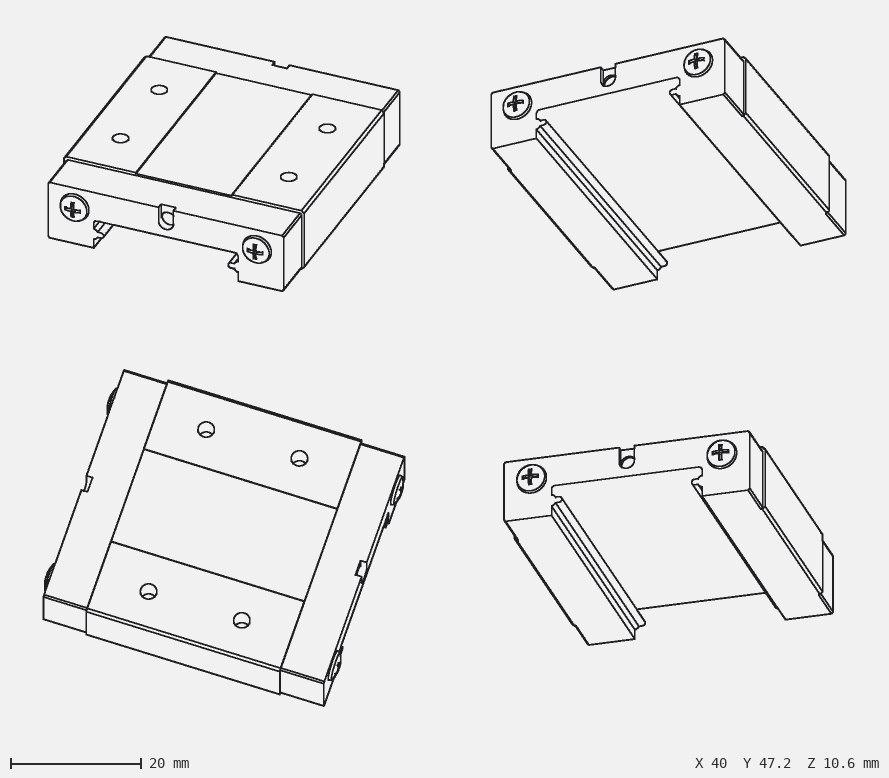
import cadquery as cq
import math

total_length = 47.25
width = 40.0
height = 10.6

block_length = 31.2
block_chamfer = 0.43
recess_width = 16.0
recess_depth = 0.2

cap_width = 39.25
cap_height = 10.05
caps_length = 45.2
cap_chamfer = 0.3

channel_width = 24.0
channel_height = 5.0
channel_corner_radius = 0.55

ridge_height = 2.55
ridge_radius = 1.0
ridge_inset = 0.25
lip_reach = 1.65
lip_radius = 0.45

hole_spacing_x = 28.0
hole_spacing_y = 15.05
hole_diameter = 2.5
hole_depth = 4.25
drill_point_angle = 118.0

port_width = 2.45
port_height = 7.6
port_slot_depth = 1.0
port_hole_depth = 1.45

screw_spacing = 30.35
screw_height = 6.6
screw_radius = 2.35
screw_shoulder_radius = 2.2
screw_shoulder_height = 0.45
cross_length = 2.55
cross_width = 0.45
cross_depth = 0.7


def chamfered_bar(bar_width, length, bar_height, chamfer):
    """Bar along Y, centred in X and Y, resting on Z = 0, with its long edges chamfered."""
    bar = cq.Workplane("XY").box(bar_width, length, bar_height, centered=(True, True, False))
    return bar.edges("|Y").chamfer(chamfer)


def prism_along_y(sketch):
    """Extrude an XZ sketch over the length of the caps, centred on Y = 0."""
    return sketch.extrude(caps_length / 2, both=True)


def make_body():
    block = chamfered_bar(width, block_length, height, block_chamfer)
    recess = cq.Workplane("XY").box(recess_width, block_length, 2 * recess_depth)
    block = block.cut(recess.translate((0, 0, height)))
    return block.union(chamfered_bar(cap_width, caps_length, cap_height, cap_chamfer))


def make_channel():
    channel = cq.Workplane("XY").box(channel_width, caps_length, 2 * channel_height)
    return channel.edges("|Y and >Z").fillet(channel_corner_radius)


def make_wall_ridge():
    """Ridge and lip on the +X channel wall."""
    wall_x = channel_width / 2
    ridge = prism_along_y(
        cq.Workplane("XZ").center(wall_x + ridge_inset, ridge_height).circle(ridge_radius)
    )
    lip_length = lip_reach + ridge_inset
    lip_x = wall_x - lip_reach + lip_length / 2
    lip = prism_along_y(
        cq.Workplane("XZ").center(lip_x, ridge_height).slot2D(lip_length, 2 * lip_radius)
    )
    return ridge.union(lip)


def make_mounting_hole():
    """Drill shape with its mouth at Z = 0 and its point down."""
    radius = hole_diameter / 2
    point_depth = radius / math.tan(math.radians(drill_point_angle / 2))
    profile = [(0, 0), (radius, 0), (radius, -hole_depth), (0, -hole_depth - point_depth)]
    return cq.Workplane("XZ").polyline(profile).close().revolve(360, (0, 0, 0), (0, 1, 0))


def make_grease_port():
    """Slot open to the top and a deeper round hole, in the -Y end face."""
    face = cq.Workplane("XZ", origin=(0, -caps_length / 2, port_height))
    hole = face.circle(port_width / 2).extrude(-port_hole_depth)
    slot_rise = cap_height - port_height
    slot = face.center(0, slot_rise / 2).rect(port_width, slot_rise).extrude(-port_slot_depth)
    return hole.union(slot)


def make_screw_head():
    """Domed head standing on Z = 0 with a cross recess in its top."""
    head_height = (total_length - caps_length) / 2
    corner_radius = cross_width / math.sqrt(2)
    rise = head_height - screw_shoulder_height
    centre_drop = (screw_shoulder_radius**2 - corner_radius**2 - rise**2) / (2 * rise)
    sphere_radius = math.hypot(screw_shoulder_radius, centre_drop)
    apex_height = screw_shoulder_height - centre_drop + sphere_radius
    corner_point = (corner_radius, head_height)
    head = (
        cq.Workplane("XZ")
        .lineTo(screw_radius, 0)
        .lineTo(screw_shoulder_radius, screw_shoulder_height)
        .threePointArc(corner_point, (0, apex_height))
        .close()
        .revolve(360, (0, 0, 0), (0, 1, 0))
    )
    cross = cq.Workplane("XY").box(cross_length, cross_width, 2 * cross_depth)
    cross = cross.union(cross.rotate((0, 0, 0), (0, 0, 1), 90))
    return head.cut(cross.translate((0, 0, head_height)))


def at_both_ends(shape):
    """Shape together with its mirror image across Y = 0."""
    return shape.union(shape.mirror("XZ"))


result = make_body().cut(make_channel())

ridge = make_wall_ridge()
result = result.union(ridge).union(ridge.mirror("YZ"))

hole = make_mounting_hole()
for hole_x in (-hole_spacing_x / 2, hole_spacing_x / 2):
    for hole_y in (-hole_spacing_y / 2, hole_spacing_y / 2):
        result = result.cut(hole.translate((hole_x, hole_y, height)))

result = result.cut(at_both_ends(make_grease_port()))

screw = make_screw_head().rotate((0, 0, 0), (1, 0, 0), 90)
for screw_x in (-screw_spacing / 2, screw_spacing / 2):
    placed_screw = screw.translate((screw_x, -caps_length / 2, screw_height))
    result = result.union(at_both_ends(placed_screw))